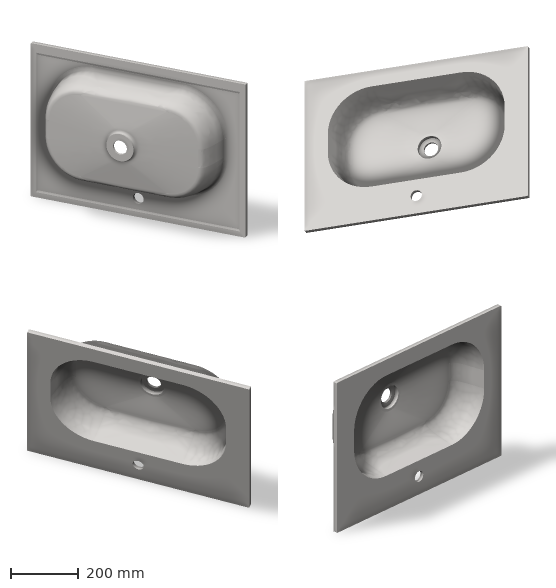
import cadquery as cq
import math


PLATE_WIDTH = 700.0
PLATE_TOP = 220.0
PLATE_BOTTOM = -280.0
PLATE_THICKNESS = 14.0
PLATE_CORNER_RADIUS = 3.0

RECESS_DEPTH = 2.0
RECESS_SIDE_INSET = 17.5
RECESS_TOP_INSET = 28.0
RECESS_BOTTOM_INSET = 17.0
RECESS_SIDE_SLOPE = 4.0
RECESS_END_SLOPE = 6.0
RECESS_CORNER_RADIUS = 3.0
PANEL_DEPTH = PLATE_THICKNESS - RECESS_DEPTH

CORE_WIDTH = 280.0
CORE_HEIGHT = 60.0
BOWL_OFFSET = 143.0
BOWL_DEPTH = 115.0
FLOOR_OFFSET = 102.0
WALL_TAPER = 11.5
WALL_PROFILE = [
    (BOWL_OFFSET, PANEL_DEPTH),
    (132.0, 68.0),
    (120.5, 103.0),
    (FLOOR_OFFSET, BOWL_DEPTH),
]
ROOT_RADIUS = 10.0
SHELL_THICKNESS = 7.0

FLOOR_END_DEPTH = 129.0
TOTAL_DEPTH = 142.0
FLARE_RADIUS = 52.5
FLARE_DEPTH = 138.0
BOSS_RADIUS = 44.0
DRAIN_HOLE_RADIUS = 22.5

TAP_HOLE_RADIUS = 17.5
TAP_HOLE_Z = -220.5


def plane_at(depth):
    """Sketch plane at a depth below the show face; its normal points to -Y."""
    return cq.Workplane("XZ", origin=(0, -depth, 0))


def rectangle_block(depth, height, width, top, bottom, radius):
    """Upright block with rounded corners, extruded from a depth toward -Y."""
    return (
        plane_at(depth)
        .center(0, (top + bottom) / 2)
        .rect(width, top - bottom)
        .extrude(height)
        .edges("|Y")
        .fillet(radius)
    )


def recess():
    outer_width = PLATE_WIDTH - 2 * RECESS_SIDE_INSET
    outer_top = PLATE_TOP - RECESS_TOP_INSET
    outer_bottom = PLATE_BOTTOM + RECESS_BOTTOM_INSET
    outer_height = outer_top - outer_bottom
    return (
        plane_at(PLATE_THICKNESS)
        .center(0, (outer_top + outer_bottom) / 2)
        .rect(outer_width, outer_height)
        .workplane(offset=-RECESS_DEPTH)
        .rect(outer_width - 2 * RECESS_SIDE_SLOPE, outer_height - 2 * RECESS_END_SLOPE)
        .loft(ruled=True)
        .edges("not(|X or |Z)")
        .fillet(RECESS_CORNER_RADIUS)
    )


def corner_arcs(depth, half_width, half_height, radius, flat_angle):
    """Closed outline of four corner arcs joined by lines, or by arcs of the
    same circle when the core shrinks to a point (flat_angle > 0)."""
    corners = [(1, 1, 0), (-1, 1, 90), (-1, -1, 180), (1, -1, 270)]

    def point(corner, angle):
        side_x, side_z, _ = corner
        turn = math.radians(angle)
        return (
            side_x * half_width + radius * math.cos(turn),
            side_z * half_height + radius * math.sin(turn),
        )

    outline = plane_at(depth).moveTo(*point(corners[0], flat_angle))
    for index, corner in enumerate(corners):
        start = corner[2]
        outline = outline.threePointArc(
            point(corner, start + 45), point(corner, start + 90 - flat_angle)
        )
        following = corners[(index + 1) % len(corners)]
        end = point(following, start + 90 + flat_angle)
        if flat_angle > 0:
            outline = outline.threePointArc(point(corner, start + 90), end)
        elif index < len(corners) - 1:
            outline = outline.lineTo(*end)
    return outline.close().wire().val()


def floor_cone(start_depth, end_depth, start_offset, end_radius):
    """Sloping floor from the rounded rectangle down to the drain circle."""
    flat_angle = 20
    rim = corner_arcs(start_depth, CORE_WIDTH / 2, CORE_HEIGHT / 2, start_offset, 0)
    drain = corner_arcs(end_depth, 0, 0, end_radius, flat_angle)
    return cq.Workplane(cq.Solid.makeLoft([rim, drain], True))


def bowl(inset):
    """Basin body above the sloping floor, its profile swept around the core
    rectangle. An inset moves the profile inward and toward the show face."""
    start, *middle, end = [(offset - inset, inset - depth) for offset, depth in WALL_PROFILE]
    taper = math.tan(math.radians(WALL_TAPER))
    top = -PANEL_DEPTH if inset == 0 else 0
    profile = (
        cq.Workplane("XY")
        .moveTo(0, top)
        .lineTo(start[0] + taper * (top - start[1]), top)
    )
    if top > start[1]:
        profile = profile.lineTo(*start)
    profile = (
        profile.spline([*middle, end], tangents=[(-taper, -1), (-1, 0)], includeCurrent=True)
        .lineTo(0, end[1])
        .close()
        .val()
    )

    def section():
        return cq.Workplane("XY").add(profile).toPending()

    half_width, half_height = CORE_WIDTH / 2, CORE_HEIGHT / 2
    body = plane_at(-top).rect(CORE_WIDTH, CORE_HEIGHT).extrude(top - end[1])
    corner = section().revolve(90, (0, 0, 0), (0, -1, 0))
    short_side = section().extrude(CORE_HEIGHT)
    long_side = section().extrude(CORE_WIDTH).rotate((0, 0, 0), (0, 1, 0), -90)
    next_corner = corner.rotate((0, 0, 0), (0, 1, 0), 90)
    pieces = [
        short_side.translate((half_width, 0, -half_height)),
        long_side.translate((half_width, 0, half_height)),
        corner.translate((half_width, 0, half_height)),
        next_corner.translate((half_width, 0, -half_height)),
    ]
    for piece in pieces:
        body = body.union(piece).union(piece.rotate((0, 0, 0), (0, 1, 0), 180))
    return body


def drain_boss():
    """Short spigot with a concave flare, turned about the drain axis."""
    flare_width = FLARE_RADIUS - BOSS_RADIUS
    flare_height = FLARE_DEPTH - FLOOR_END_DEPTH
    bow = 1 - math.sqrt(0.5)
    flare_middle = (BOSS_RADIUS + flare_width * bow, -FLOOR_END_DEPTH - flare_height * bow)
    return (
        cq.Workplane("XY")
        .moveTo(0, -FLOOR_END_DEPTH)
        .lineTo(FLARE_RADIUS, -FLOOR_END_DEPTH)
        .threePointArc(flare_middle, (BOSS_RADIUS, -FLARE_DEPTH))
        .lineTo(BOSS_RADIUS, -TOTAL_DEPTH)
        .lineTo(0, -TOTAL_DEPTH)
        .close()
        .revolve(360, (0, 0, 0), (0, 1, 0))
    )


def cavity():
    """Hollow of the basin, one shell thickness inside the outer surface."""
    floor_offset, floor_depth = [value - SHELL_THICKNESS for value in WALL_PROFILE[-1]]
    floor_end = FLOOR_END_DEPTH - SHELL_THICKNESS
    floor = floor_cone(floor_depth, floor_end, floor_offset, FLARE_RADIUS - SHELL_THICKNESS)
    hollow = bowl(SHELL_THICKNESS).union(floor)
    sump = plane_at(floor_depth).circle(BOSS_RADIUS - SHELL_THICKNESS)
    return hollow.union(sump.extrude(TOTAL_DEPTH - SHELL_THICKNESS - floor_depth))


def through_hole(z, radius):
    return plane_at(0).center(0, z).circle(radius).extrude(TOTAL_DEPTH)


plate = rectangle_block(
    0, PLATE_THICKNESS, PLATE_WIDTH, PLATE_TOP, PLATE_BOTTOM, PLATE_CORNER_RADIUS
).cut(recess())

basin = plate.union(bowl(0))
root_reach = BOWL_OFFSET + 1.0
root_edges = cq.selectors.BoxSelector(
    (-CORE_WIDTH / 2 - root_reach, -PANEL_DEPTH - 1.0, -CORE_HEIGHT / 2 - root_reach),
    (CORE_WIDTH / 2 + root_reach, -PANEL_DEPTH + 1.0, CORE_HEIGHT / 2 + root_reach),
    boundingbox=True,
)
basin = basin.edges(root_edges).fillet(ROOT_RADIUS)

basin = basin.union(floor_cone(BOWL_DEPTH, FLOOR_END_DEPTH, FLOOR_OFFSET, FLARE_RADIUS))
basin = basin.union(drain_boss())

result = (
    basin.cut(cavity())
    .cut(through_hole(0, DRAIN_HOLE_RADIUS))
    .cut(through_hole(TAP_HOLE_Z, TAP_HOLE_RADIUS))
)